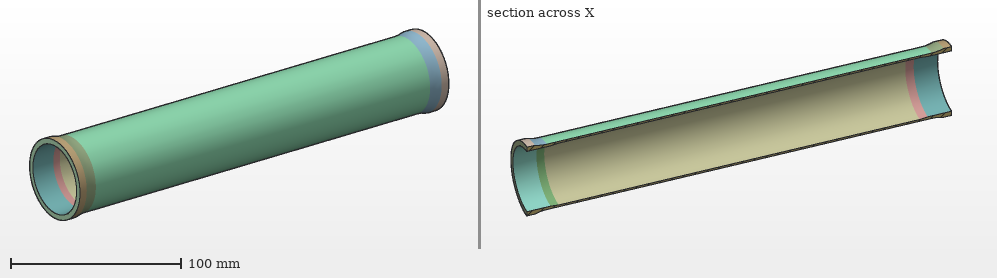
import cadquery as cq
import math

length = 270.0
body_radius = 23.8
collar_diameter = 50.0
collar_length = 5.0
flare_length = 7.5

land_radius = 21.5
relief_radius = 22.1
land_length = 15.0
bore_taper_length = 5.0

collar_radius = collar_diameter / 2
half_length = length / 2
collar_start = half_length - collar_length
flare_start = collar_start - flare_length
land_start = half_length - land_length
relief_end = land_start - bore_taper_length


def flare_midpoint(end):
    """Point on the flare arc halfway along its length; end is +1 or -1."""
    rise = collar_radius - body_radius
    arc_radius = (flare_length**2 + rise**2) / (2 * rise)
    half_run = flare_length / 2
    middle_rise = arc_radius - math.sqrt(arc_radius**2 - half_run**2)
    return (body_radius + middle_rise, end * (flare_start + half_run))


def revolve_about_y(profile):
    return profile.revolve(360, (0, 0, 0), (0, 1, 0))


def tube_body():
    """Outer solid: each flare is one arc, tangent to the body and meeting the collar at an edge."""
    profile = (
        cq.Workplane("XY")
        .moveTo(0, -half_length)
        .lineTo(collar_radius, -half_length)
        .lineTo(collar_radius, -collar_start)
        .threePointArc(flare_midpoint(-1), (body_radius, -flare_start))
        .lineTo(body_radius, flare_start)
        .threePointArc(flare_midpoint(1), (collar_radius, collar_start))
        .lineTo(collar_radius, half_length)
        .lineTo(0, half_length)
        .close()
    )
    return revolve_about_y(profile)


def bore():
    """Through bore with a tapered step from each end land to the wider relief."""
    profile = (
        cq.Workplane("XY")
        .moveTo(0, -half_length)
        .lineTo(land_radius, -half_length)
        .lineTo(land_radius, -land_start)
        .lineTo(relief_radius, -relief_end)
        .lineTo(relief_radius, relief_end)
        .lineTo(land_radius, land_start)
        .lineTo(land_radius, half_length)
        .lineTo(0, half_length)
        .close()
    )
    return revolve_about_y(profile)


result = tube_body().cut(bore())